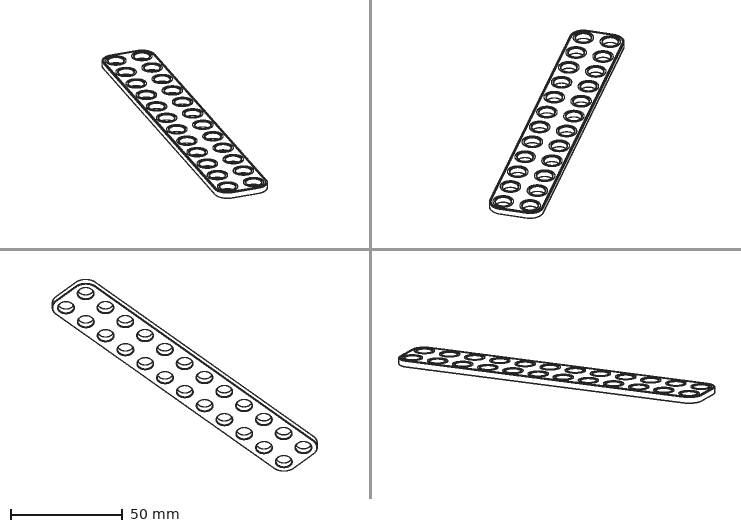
import cadquery as cq

unit = 12.5
cells_long = 12
cells_wide = 2
length = cells_long * unit
width = cells_wide * unit
thickness = unit / 4
corner_radius = unit / 2
edge_chamfer = 0.3

hole_diameter = 7.0
collar_diameter = 9.2
rim_width = 0.8
recess_depth = 0.2


def rounded_block(inset, height):
    """Rounded rectangular block whose sides lie inside the plate outline by the inset."""
    block = cq.Workplane("XY").box(length - 2 * inset, width - 2 * inset, height)
    return block.edges("|Z").fillet(corner_radius - inset)


def grid_cylinders(diameter, height):
    """One upright cylinder, centred on mid-height, in every grid cell."""
    centres = cq.Workplane("XY").rarray(unit, unit, cells_long, cells_wide)
    return centres.circle(diameter / 2).extrude(height / 2, both=True)


def drilled_plate():
    """Plate with every hole, chamfered around the outline and both rims of each hole."""
    blank = rounded_block(0, thickness)
    drilled = blank.cut(grid_cylinders(hole_diameter, thickness))
    return drilled.faces("<Z or >Z").edges().chamfer(edge_chamfer)


def top_recess():
    """Shallow pocket in the top face that leaves an outer rim and a collar around every hole."""
    field = rounded_block(rim_width, recess_depth)
    pocket = field.cut(grid_cylinders(collar_diameter, recess_depth))
    return pocket.translate((0, 0, (thickness - recess_depth) / 2))


result = drilled_plate().cut(top_recess())